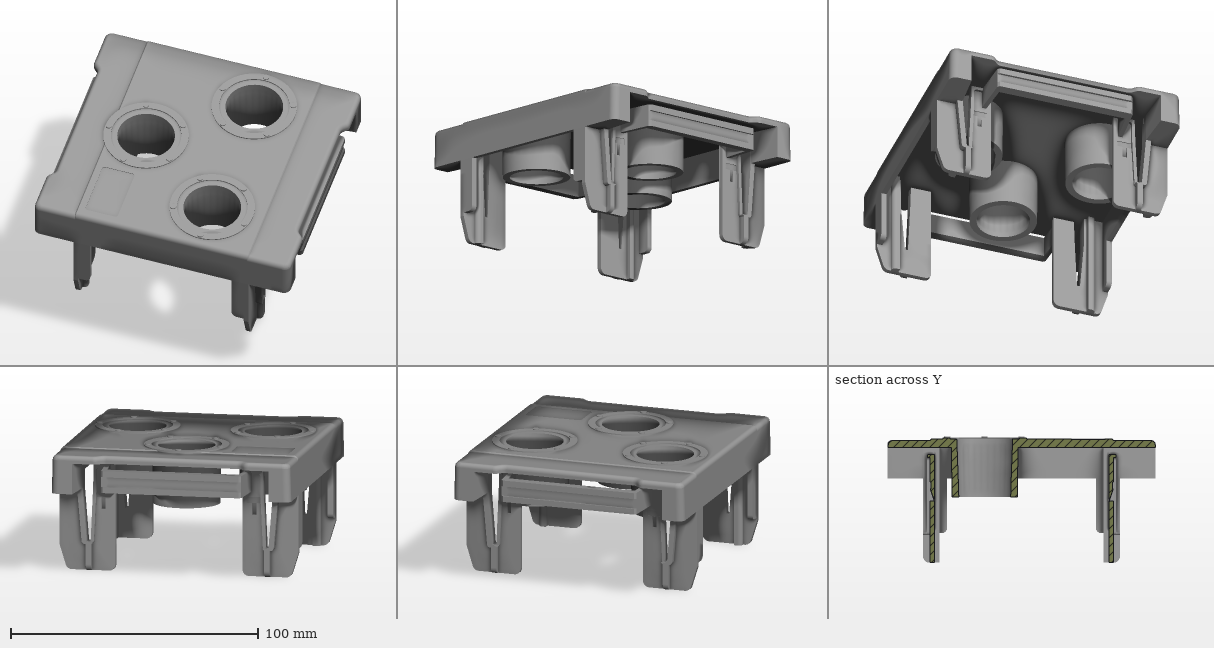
import cadquery as cq
import math

LENGTH = 108.6
WIDTH = 99.0
LEG_HEIGHT = 34.0
WING_TOP = 49.6
PANEL_TOP = 50.2
PANEL_HALF = 36.5
STEP_RUN = 0.5
WALL_LEAN = 0.4
CORNER_RADIUS = 2.9
EDGE_RADIUS = 1.8
CEILING = 46.6
WALL = 2.3

NOTCH_DEPTH = 2.7
NOTCH_HALF_OUTER = 31.0
NOTCH_HALF_INNER = 28.2
NOTCH_RADIUS = 2.7
OPENING_HALF_OUTER = 40.6
OPENING_HALF_INNER = 39.4

SOCKETS = [(-22.0, 0.0, 180), (15.0, 28.0, 90), (15.0, -28.0, 270)]
RING_OUTER_DIA = 34.6
RING_INNER_DIA = 28.6
RING_TOP = 50.6
SLEEVE_TOP_DIA = 27.9
SLEEVE_END_DIA = 27.4
SLEEVE_BOTTOM = 26.5
BORE_TOP_DIA = 23.3
BORE_BOTTOM_DIA = 21.7
PIN_DIA = 2.5
PIN_COUNT = 5
PIN_TOP = 51.0

LABEL_CENTER = (-26.9, -32.7)
LABEL_SIZE = (13.7, 23.9)
LABEL_RADIUS = 1.1
LABEL_DEPTH = 0.2

PLATE_INNER = 35.2
PLATE_OUTER = 37.1
RIDGE_OUTER = 39.9
RIB_INNER = 33.1
RIB_Y = (40.4, 43.7)
RIB_RADIUS = 1.8
LEG_INNER_Y = 26.3
LEG_OUTER_Y = WIDTH / 2
LEG_FLAT_Y = 46.3
LEG_SLOPE_TOP = 10.5
TIP_RADIUS = 2.6
FINGER_TOP = 43.9
SLOT_BOTTOM = 12.2
SLOT_BOTTOM_Y = (36.3, 37.6)
SLOT_RIM_Y = (35.3, 39.3)
SLOT_TOP_Y = 35.0
BRIDGE = 2.2
STEM_Y = (35.7, 38.0)
STEM_RADIUS = 2.6
RIM_BOTTOM = 11.1
RIM_BOTTOM_Y = (35.0, 39.6)
RIM_UPPER_Y = (33.9, 41.6)
RIM_TOP_EDGE = 42.6
RIM_RADIUS = 1.3
LOW_RIM_OUTER = 38.3
LOW_RIM_START = 11.8
FLANGE_INNER = 30.1
FLANGE_BOTTOM = 12.0
FLANGE_RADIUS = 2.2

CATCH_Y = (27.9, 34.0)
CATCH_Z = (30.1, 32.6)
CATCH_DEPTH = 0.3
WEDGE_Y = (30.3, 32.0)
WEDGE_BOTTOM = 25.2
WEDGE_DEPTH = 1.6

BAR_OUTER = 53.4
BAR_BOTTOM = 34.9
BAR_HALF_INNER = 30.3
BAR_HALF_OUTER = 29.0
LIP_HALF = 28.1
BAR_WALL = 3.9
BAR_END_WALL = 1.8
GROOVE_Z = (37.2, 41.4)
GROOVE_DEPTH = 0.9


def span_box(x, y, z):
    """Box given by its (low, high) range on each axis."""
    return (cq.Workplane("XY").box(x[1] - x[0], y[1] - y[0], z[1] - z[0], centered=False)
            .translate((x[0], y[0], z[0])))


def plan_prism(points, z):
    """Prism of an (x, y) outline between two Z levels."""
    return cq.Workplane("XY").workplane(offset=z[0]).polyline(points).close().extrude(z[1] - z[0])


def side_prism(points, x):
    """Prism of a (y, z) outline between two X positions."""
    return cq.Workplane("YZ").workplane(offset=x[0]).polyline(points).close().extrude(x[1] - x[0])


def both_ends(shape):
    return shape.union(shape.mirror("YZ"))


def four_corners(shape):
    return both_ends(shape.union(shape.mirror("XZ")))


def leaning_block(half_length, top):
    """Block whose two long walls lean inward at the same angle, whatever its height."""
    top_half = WIDTH / 2 - WALL_LEAN * (top - LEG_HEIGHT) / (WING_TOP - LEG_HEIGHT)
    rim_half = WIDTH / 2
    outline = [(-rim_half, LEG_HEIGHT), (rim_half, LEG_HEIGHT), (top_half, top), (-top_half, top)]
    return side_prism(outline, (-half_length, half_length))


def trapezoid(x_inner, half_inner, x_outer, half_outer):
    """(x, y) outline whose half width changes evenly between two X positions."""
    return [(x_inner, -half_inner), (x_outer, -half_outer), (x_outer, half_outer), (x_inner, half_inner)]


def cover():
    """Hollow tray with notched ends, a raised middle panel and a side opening at each end."""
    floor_x = LENGTH / 2 - NOTCH_DEPTH
    flank = trapezoid(floor_x, NOTCH_HALF_INNER, LENGTH / 2 + NOTCH_DEPTH,
                      2 * NOTCH_HALF_OUTER - NOTCH_HALF_INNER)
    body = leaning_block(LENGTH / 2, WING_TOP)
    body = body.edges("(#X) and (not #Z) and (not |Y)").fillet(CORNER_RADIUS)
    body = body.cut(both_ends(plan_prism(flank, (LEG_HEIGHT, WING_TOP))))
    body = body.edges("|Z").fillet(NOTCH_RADIUS)
    body = body.faces(">Z").edges().fillet(EDGE_RADIUS)

    panel = leaning_block(PANEL_HALF + STEP_RUN, PANEL_TOP)
    panel = panel.faces(">Z").edges("|X").fillet(EDGE_RADIUS)
    step_height = PANEL_TOP - WING_TOP
    panel = panel.faces(">Z").edges("|Y").chamfer(step_height, STEP_RUN)
    body = body.union(panel)

    cavity_half = WIDTH / 2 - WALL
    cavity = span_box((-PLATE_INNER, PLATE_INNER), (-cavity_half, cavity_half), (LEG_HEIGHT, CEILING))
    opening = trapezoid(RIDGE_OUTER, OPENING_HALF_INNER, LENGTH / 2, OPENING_HALF_OUTER)
    passage = plan_prism(opening, (LEG_HEIGHT, CEILING))
    passage = passage.union(span_box((PLATE_INNER, RIDGE_OUTER), (-OPENING_HALF_INNER, OPENING_HALF_INNER),
                                     (LEG_HEIGHT, CEILING)))
    return body.cut(cavity).cut(both_ends(passage))


def cone(center, bottom, top):
    """Tapered round between two (diameter, z) levels."""
    return (cq.Workplane("XY").workplane(offset=bottom[1]).center(*center).circle(bottom[0] / 2)
            .workplane(offset=top[1] - bottom[1]).circle(top[0] / 2).loft())


def disc(center, diameter, z):
    return cq.Workplane("XY").workplane(offset=z[0]).center(*center).circle(diameter / 2).extrude(z[1] - z[0])


def add_sockets(body):
    """Raised rings with locating pins on top, tapered sleeves below and tapered bores."""
    pin_circle = (RING_OUTER_DIA + RING_INNER_DIA) / 4
    for x, y, start in SOCKETS:
        center = (x, y)
        body = body.union(disc(center, RING_OUTER_DIA, (CEILING, RING_TOP)))
        body = body.cut(disc(center, RING_INNER_DIA, (PANEL_TOP, RING_TOP)))
        body = body.union(cone(center, (SLEEVE_END_DIA, SLEEVE_BOTTOM), (SLEEVE_TOP_DIA, CEILING)))
        for i in range(PIN_COUNT):
            angle = math.radians(start + 360 * i / PIN_COUNT)
            spot = (x + pin_circle * math.cos(angle), y + pin_circle * math.sin(angle))
            body = body.union(disc(spot, PIN_DIA, (WING_TOP, PIN_TOP)))
    for x, y, _ in SOCKETS:
        body = body.cut(cone((x, y), (BORE_BOTTOM_DIA, SLEEVE_BOTTOM), (BORE_TOP_DIA, PANEL_TOP)))
    return body


def label_recess():
    z = PANEL_TOP - LABEL_DEPTH
    return (cq.Workplane("XY").workplane(offset=z).center(*LABEL_CENTER).rect(*LABEL_SIZE)
            .extrude(LABEL_DEPTH).edges("|Z").fillet(LABEL_RADIUS))


def slot(x):
    """V-shaped slot that splits the leg into an inner and an outer finger."""
    low, high = SLOT_BOTTOM_Y
    outline = [(low, SLOT_BOTTOM), (high, SLOT_BOTTOM), (SLOT_RIM_Y[1], LEG_HEIGHT), (SLOT_RIM_Y[1], CEILING),
               (LEG_INNER_Y, CEILING), (LEG_INNER_Y, FINGER_TOP), (SLOT_TOP_Y, FINGER_TOP),
               (SLOT_RIM_Y[0], LEG_HEIGHT)]
    return side_prism(outline, x)


def ridge():
    """Y-shaped ridge: a stem up from the tip, then a rim along both sides of the slot."""
    x = (PLATE_OUTER, RIDGE_OUTER)
    rim = side_prism([(RIM_BOTTOM_Y[0], RIM_BOTTOM), (RIM_BOTTOM_Y[1], RIM_BOTTOM),
                      (RIM_UPPER_Y[1], LEG_HEIGHT), (RIM_UPPER_Y[1], FINGER_TOP),
                      (BAR_HALF_OUTER, FINGER_TOP), (BAR_HALF_OUTER, RIM_TOP_EDGE),
                      (RIM_UPPER_Y[0], RIM_TOP_EDGE), (RIM_UPPER_Y[0], LEG_HEIGHT)], x)
    rim = rim.edges("|X").edges("<Z").fillet(RIM_RADIUS)
    inner_corner = (RIDGE_OUTER, RIM_UPPER_Y[0], RIM_TOP_EDGE)
    rim = rim.edges("|X").edges(cq.selectors.NearestToPointSelector(inner_corner)).fillet(RIM_RADIUS)
    slot_center = sum(SLOT_BOTTOM_Y) / 2
    above_low_rim = span_box((LOW_RIM_OUTER, RIDGE_OUTER), (LEG_INNER_Y, slot_center),
                             (LOW_RIM_START, CEILING))
    rim = rim.cut(above_low_rim)
    stem = span_box(x, STEM_Y, (0, LOW_RIM_START)).edges("|Y").edges(">X and <Z").fillet(STEM_RADIUS)
    return rim.union(stem)


def catch():
    """Recess and wedge-shaped pocket in the outer face of the inner finger."""
    recess = span_box((PLATE_OUTER - CATCH_DEPTH, PLATE_OUTER), CATCH_Y, CATCH_Z)
    wedge = (cq.Workplane("XZ", origin=(0, WEDGE_Y[1], 0))
             .polyline([(PLATE_OUTER, CATCH_Z[0]), (PLATE_OUTER, WEDGE_BOTTOM),
                        (PLATE_OUTER - WEDGE_DEPTH, WEDGE_BOTTOM)]).close()
             .extrude(WEDGE_Y[1] - WEDGE_Y[0]))
    return recess.union(wedge)


def leg():
    """Split leg: plate, stiffening rib, ridge, slot and the flange under the long wall."""
    bridge_y = SLOT_RIM_Y[1] + BRIDGE
    outline = [(LEG_INNER_Y, 0), (LEG_FLAT_Y, 0), (LEG_OUTER_Y, LEG_SLOPE_TOP), (LEG_OUTER_Y, LEG_HEIGHT),
               (bridge_y, LEG_HEIGHT), (bridge_y, CEILING), (LEG_INNER_Y, CEILING)]
    plate = side_prism(outline, (PLATE_INNER, PLATE_OUTER)).edges("|X").edges("<Z").fillet(TIP_RADIUS)
    plate = plate.cut(catch())
    rib = span_box((RIB_INNER, PLATE_OUTER), RIB_Y, (0, CEILING))
    rib = rib.edges("|Z").edges("<X and >Y").fillet(RIB_RADIUS)
    flange_y = (LEG_OUTER_Y - WALL, LEG_OUTER_Y)
    flange = span_box((FLANGE_INNER, PLATE_OUTER), flange_y, (FLANGE_BOTTOM, LEG_HEIGHT))
    flange = flange.edges("|Y").edges("<X and <Z").fillet(FLANGE_RADIUS)
    shape = plate.union(rib).union(ridge()).cut(slot((PLATE_INNER, RIDGE_OUTER)))
    return shape.union(flange)


def grip_bar():
    """Tapered bar across the side opening, with two end walls and a grooved outer face."""
    z = (BAR_BOTTOM, FINGER_TOP)
    groove_floor = BAR_OUTER - GROOVE_DEPTH
    bar = plan_prism(trapezoid(PLATE_INNER, BAR_HALF_INNER, groove_floor, BAR_HALF_OUTER), z)
    lips = plan_prism(trapezoid(groove_floor, BAR_HALF_OUTER, BAR_OUTER, LIP_HALF), z)
    bar = bar.union(lips)
    hollow = trapezoid(PLATE_INNER, BAR_HALF_INNER - BAR_END_WALL,
                       BAR_OUTER - BAR_WALL, BAR_HALF_OUTER - BAR_END_WALL)
    groove = span_box((groove_floor, BAR_OUTER), (-BAR_HALF_INNER, BAR_HALF_INNER), GROOVE_Z)
    return bar.cut(plan_prism(hollow, z)).cut(groove)


result = add_sockets(cover()).cut(label_recess())
result = result.union(four_corners(leg()))
result = result.union(both_ends(grip_bar()))